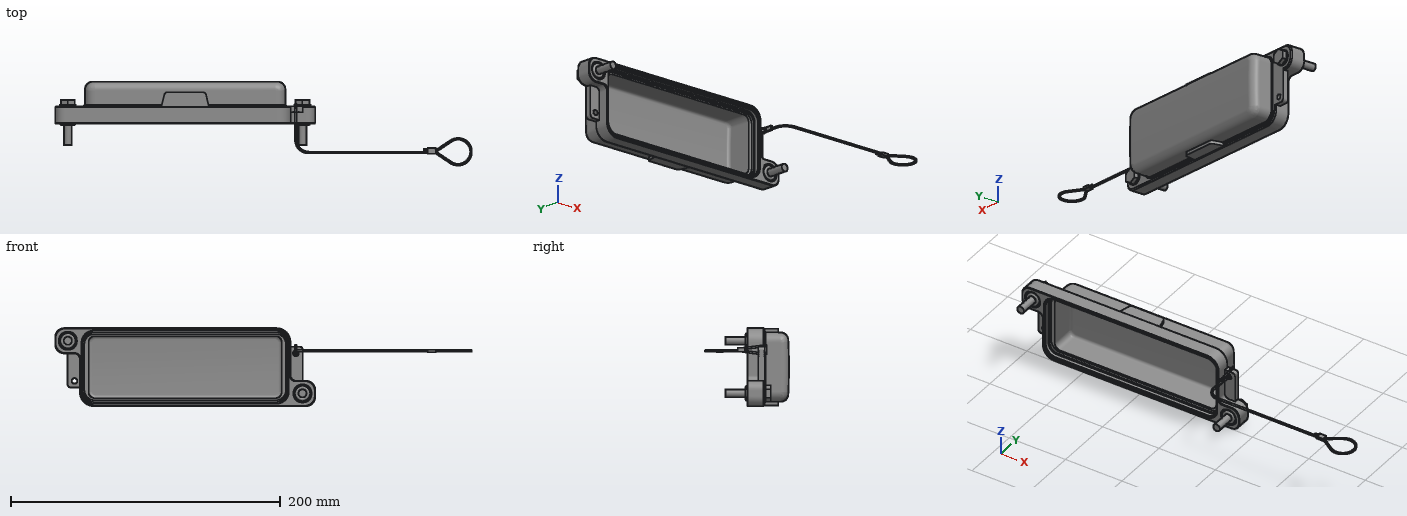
import cadquery as cq
import math


flange_length = 156.2
flange_height = 57.99
flange_depth = 13.0
flange_corner = 10.7
flange_back_chamfer = 1.0
flange_front_chamfer = 0.5

hood_length = 148.7
hood_height = 51.6
hood_back = 31.2
hood_crown = 0.9
hood_corner = 7.5
hood_edge_round = 6.0
wall = 2.8
cavity_edge_round = 2.5
hood_foot = 0.9

seat_steps = ((1.2, 1.8, 1.2), (2.3, 3.1, 4.5), (3.5, 4.5, 6.8))

grip_back = 23.2
grip_height = 56.9
grip_base_half = 17.5
grip_top_half = 15.0
grip_round = 2.5

lug_span = 192.8
lug_size = 19.0
lug_corner = 7.2
lug_inner_round = 3.8
screw_x = lug_span / 2 - lug_size / 2
screw_z = flange_height / 2 - lug_size / 2

shank_radius = 3.0
shank_tip = -16.0
washer_radius = 6.0
washer_thickness = 1.0
head_flats = 10.5
head_thickness = 3.6
recess_radius = 6.8
recess_depth = 2.0
ring_radius = 4.3
ring_section = 1.35
ring_y = 0.2

tab_front = 8.4
tab_outer_x = 87.2
tab_end_z = 15.2
tab_corner = 2.5
tab_hole_x = 82.0
tab_hole_z = 10.2
tab_hole_radius = 2.0

overall_length = 308.88
overall_depth = 62.41
wire_radius = 0.7
wire_z = 12.0
wire_y = -21.4
wire_bend = 9.4
crimp_front = -7.0
crimp_back = -1.5
crimp_width = 1.6
strand_gap = 1.6
loop_clearance = 1.0
loop_back = flange_depth + loop_clearance
loop_bite = 0.1
loop_top = tab_end_z + wire_radius - loop_bite
eye_radius = 9.6
eye_x = overall_length - lug_span / 2 - eye_radius - wire_radius
eye_y = hood_back - overall_depth + eye_radius + wire_radius
sleeve_start = 179.7
sleeve_end = 185.6
sleeve_width = 4.6
sleeve_offset = 0.7
sleeve_thickness = 2.0
tail_start = 176.7
tail_gap = 0.6
tail_y = wire_y + 2 * wire_radius + tail_gap


def cylinder_y(x, z, y_start, y_end, radius):
    """Cylinder along Y between two depths."""
    start = cq.Vector(x, y_start, z)
    return cq.Workplane(cq.Solid.makeCylinder(radius, y_end - y_start, start, cq.Vector(0, 1, 0)))


def box_between(low, high):
    """Box given by two opposite corners."""
    sizes = [b - a for a, b in zip(low, high)]
    return cq.Workplane("XY").box(*sizes, centered=False).translate(low)


def rounded_block(length, height, corner, y_start, y_end):
    """Block centred on the Y axis with rounded corners in the XZ plane."""
    block = cq.Workplane("XY").box(length, y_end - y_start, height)
    return block.edges("|Y").fillet(corner).translate((0, (y_start + y_end) / 2, 0))


def crowned_block(length, height, corner, y_end, edge_round):
    """Rounded block from Y = 0 whose far face bulges gently about the X axis."""
    half = height / 2
    y_side = y_end - hood_crown
    profile = (
        cq.Workplane("YZ")
        .moveTo(0, -half)
        .lineTo(y_side, -half)
        .threePointArc((y_end, 0), (y_side, half))
        .lineTo(0, half)
        .close()
    )
    block = profile.extrude(length / 2, both=True).edges("|Y").fillet(corner)
    return block.faces(">Y").edges().fillet(edge_round)


def half_turn(shape):
    """The same feature at the diagonally opposite corner."""
    return shape.rotate((0, 0, 0), (0, 1, 0), 180)


def make_flange():
    flange = rounded_block(flange_length, flange_height, flange_corner, 0, flange_depth)
    lug_low = (flange_length / 2 - 2 * flange_corner, 0, -screw_z - lug_size / 2)
    lug_high = (lug_span / 2, flange_depth, -screw_z + lug_size / 2)
    lug = box_between(lug_low, lug_high).edges("|Y and >X").fillet(lug_corner)
    flange = flange.union(lug).union(half_turn(lug)).clean()
    reach = 1.0
    for side in (1, -1):
        corner_x = side * flange_length / 2
        corner_z = side * (-screw_z + lug_size / 2)
        selector = cq.selectors.BoxSelector(
            (corner_x - reach, -reach, corner_z - reach),
            (corner_x + reach, flange_depth + reach, corner_z + reach),
        )
        flange = flange.edges("|Y").edges(selector).fillet(lug_inner_round)
    flange = flange.faces(">Y").edges().chamfer(flange_back_chamfer)
    return flange.faces("<Y").edges().chamfer(flange_front_chamfer)


def make_hood():
    hood = crowned_block(hood_length, hood_height, hood_corner, hood_back, hood_edge_round)
    foot = rounded_block(
        hood_length + 2 * hood_foot, hood_height + 2 * hood_foot, hood_corner + hood_foot,
        0, flange_depth + hood_foot,
    )
    return hood.union(foot.faces(">Y").edges().chamfer(hood_foot))


def make_grips():
    outline = [
        (-grip_base_half, 0),
        (-grip_base_half, flange_depth),
        (-grip_top_half, grip_back),
        (grip_top_half, grip_back),
        (grip_base_half, flange_depth),
        (grip_base_half, 0),
    ]
    grips = cq.Workplane("XY").polyline(outline).close().extrude(grip_height / 2, both=True)
    return grips.faces(">Y").edges("|Z").fillet(grip_round)


def make_mouth():
    """Stepped seat and the hood cavity, as a cutting body."""
    mouth = crowned_block(
        hood_length - 2 * wall, hood_height - 2 * wall, hood_corner - wall,
        hood_back - wall, cavity_edge_round,
    )
    for end_inset, side_inset, depth in seat_steps:
        step = rounded_block(
            flange_length - 2 * end_inset, flange_height - 2 * side_inset,
            flange_corner - end_inset, 0, depth,
        )
        mouth = mouth.union(step)
    return mouth


def make_tab():
    low = (flange_length / 2 - wall, tab_front, -screw_z)
    high = (tab_outer_x, flange_depth, tab_end_z)
    tab = box_between(low, high).edges("|Y and >X and >Z").fillet(tab_corner)
    hole = cylinder_y(tab_hole_x, tab_hole_z, tab_front, flange_depth, tab_hole_radius)
    return tab.cut(hole)


def make_screw():
    """Screw, washer and retaining ring at the +X, -Z lug."""
    head_start = flange_depth + washer_thickness
    shank = cylinder_y(screw_x, -screw_z, shank_tip, head_start, shank_radius)
    washer = cylinder_y(screw_x, -screw_z, flange_depth, head_start, washer_radius)
    head = cq.Workplane("XY").polygon(6, head_flats / math.cos(math.pi / 6)).extrude(head_thickness)
    head = head.rotate((0, 0, 0), (0, 0, 1), 90).rotate((0, 0, 0), (1, 0, 0), -90)
    head = head.translate((screw_x, head_start, -screw_z))
    ring_centre = cq.Vector(screw_x, ring_y, -screw_z)
    ring = cq.Workplane(cq.Solid.makeTorus(ring_radius, ring_section, ring_centre, cq.Vector(0, 1, 0)))
    return shank.union(washer).union(head).union(ring)


def rod(points):
    """Round wire through the points, with ball joints at the bends."""
    shape = None
    for start, end in zip(points, points[1:]):
        a = cq.Vector(*start)
        b = cq.Vector(*end)
        piece = cq.Workplane(cq.Solid.makeCylinder(wire_radius, (b - a).Length, a, b - a))
        joint = cq.Workplane("XY").sphere(wire_radius).translate(end)
        piece = piece.union(joint)
        shape = piece if shape is None else shape.union(piece)
    return shape


def swept_wire(path, start, direction):
    """Round wire along a path that begins at the given point and direction."""
    return cq.Workplane(cq.Plane(origin=start, normal=direction)).circle(wire_radius).sweep(path)


def make_lanyard():
    x = tab_hole_x
    crimp_middle = (crimp_front + crimp_back) / 2
    loop = rod([
        (x, crimp_middle, wire_z),
        (x, tab_front, tab_hole_z),
        (x, loop_back, tab_hole_z),
        (x, loop_back, loop_top),
        (x, crimp_middle, wire_z + strand_gap),
    ])
    crimp = box_between(
        (x - crimp_width / 2, crimp_front, wire_z - crimp_width / 2),
        (x + crimp_width / 2, crimp_back, wire_z + strand_gap + crimp_width / 2),
    )
    bend_middle = wire_bend * (1 - math.sqrt(0.5))
    run_path = (
        cq.Workplane("XY", origin=(0, 0, wire_z))
        .moveTo(x, crimp_front)
        .lineTo(x, wire_y + wire_bend)
        .threePointArc((x + bend_middle, wire_y + bend_middle), (x + wire_bend, wire_y))
        .lineTo(sleeve_end, wire_y)
    )
    run = swept_wire(run_path, (x, crimp_front, wire_z), (0, -1, 0))
    tail = rod([(tail_start, tail_y, wire_z), (sleeve_end, tail_y, wire_z)])
    sleeve = box_between(
        (sleeve_start, eye_y - sleeve_width / 2 + sleeve_offset, wire_z - sleeve_thickness / 2),
        (sleeve_end, eye_y + sleeve_width / 2 + sleeve_offset, wire_z + sleeve_thickness / 2),
    )
    apex_x = sleeve_end - wire_radius
    half_angle = math.asin(eye_radius / (eye_x - apex_x))
    touch_x = eye_x - eye_radius * math.sin(half_angle)
    touch_offset = eye_radius * math.cos(half_angle)
    eye_path = (
        cq.Workplane("XY", origin=(0, 0, wire_z))
        .moveTo(apex_x, eye_y)
        .lineTo(touch_x, eye_y + touch_offset)
        .threePointArc((eye_x + eye_radius, eye_y), (touch_x, eye_y - touch_offset))
        .lineTo(apex_x, eye_y)
    )
    leaving = (math.cos(half_angle), math.sin(half_angle), 0)
    eye = swept_wire(eye_path, (apex_x, eye_y, wire_z), leaving)
    return loop.union(crimp).union(run).union(tail).union(sleeve).union(eye)


tab = make_tab()
screw = make_screw()
recess = cylinder_y(screw_x, -screw_z, 0, recess_depth, recess_radius)

cover = make_flange().union(make_hood()).union(make_grips())
cover = cover.union(tab).union(half_turn(tab))
cover = cover.cut(make_mouth()).cut(recess).cut(half_turn(recess))
result = cover.union(screw).union(half_turn(screw)).union(make_lanyard())